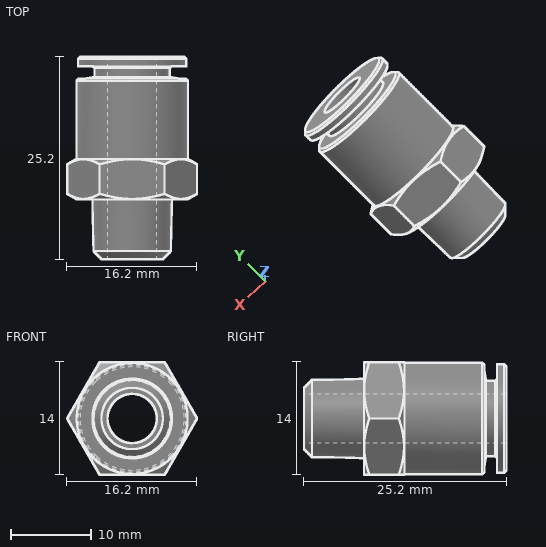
import cadquery as cq
import math

length = 25.2
bore_diameter = 6.1

tip_diameter = 7.64
thread_small_diameter = 9.65
thread_large_diameter = 9.93
tip_chamfer_length = 1.0

hex_start = 7.45
hex_length = 5.05
hex_across_flats = 14.0
hex_face_diameter = 13.8
hex_chamfer_angle = 30.0

body_diameter = 13.9
body_end = 22.48
body_edge_chamfer = 0.3

neck_diameter = 9.4
ring_diameter = 13.5
ring_thickness = 1.2
ring_edge_chamfer = 0.3
ring_shoulder_size = 0.2

body_cone_diameter = 11.6
body_cone_height = 0.2

hex_end = hex_start + hex_length
ring_start = length - ring_thickness
hex_across_corners = hex_across_flats / math.cos(math.radians(30))


def revolve_profile(points):
    """Revolve (radius, y) points around the Y axis."""
    return cq.Workplane("XY").polyline(points).close().revolve(360, (0, 0, 0), (0, 1, 0))


def cylinder(diameter, start, end):
    """Cylinder along Y between two stations."""
    return cq.Workplane("XZ", origin=(0, start, 0)).circle(diameter / 2).extrude(start - end)


def make_thread():
    return revolve_profile([
        (0, 0),
        (tip_diameter / 2, 0),
        (thread_small_diameter / 2, tip_chamfer_length),
        (thread_large_diameter / 2, hex_start),
        (0, hex_start),
    ])


def make_hexagon():
    """Hexagonal prism with its corners turned down conically at both ends."""
    prism = (
        cq.Workplane("XZ", origin=(0, hex_start, 0))
        .polygon(6, hex_across_corners)
        .extrude(-hex_length)
    )
    face_radius = hex_face_diameter / 2
    corner_radius = hex_across_corners / 2
    chamfer = (corner_radius - face_radius) * math.tan(math.radians(hex_chamfer_angle))
    envelope = revolve_profile([
        (0, hex_start),
        (face_radius, hex_start),
        (corner_radius, hex_start + chamfer),
        (corner_radius, hex_end - chamfer),
        (face_radius, hex_end),
        (0, hex_end),
    ])
    return prism.intersect(envelope)


def make_body():
    return cylinder(body_diameter, hex_end, body_end).faces(">Y").edges().chamfer(body_edge_chamfer)


def make_release_ring():
    """Ring on a neck, with conical shoulders where the neck meets the body and the ring."""
    neck_radius = neck_diameter / 2
    neck = revolve_profile([
        (0, body_end),
        (body_cone_diameter / 2, body_end),
        (neck_radius, body_end + body_cone_height),
        (neck_radius, ring_start - ring_shoulder_size),
        (neck_radius + ring_shoulder_size, ring_start),
        (0, ring_start),
    ])
    ring = cylinder(ring_diameter, ring_start, length).faces(">Y").edges().chamfer(ring_edge_chamfer)
    return neck.union(ring)


result = (
    make_thread()
    .union(make_hexagon())
    .union(make_body())
    .union(make_release_ring())
    .cut(cylinder(bore_diameter, 0, length))
)